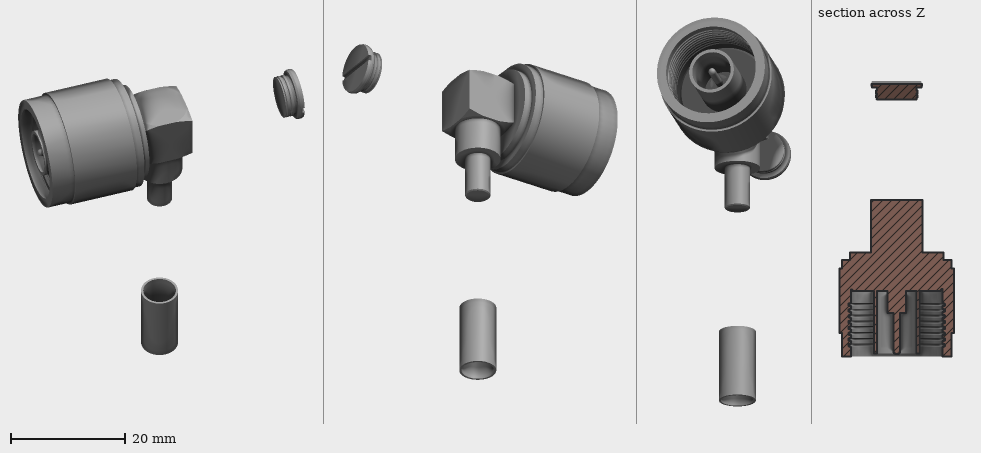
import cadquery as cq
import math


collar_radius = 10.05
nut_radius = 9.7
rear_flange_radius = 8.3
collar_front = 4.1
collar_back = 15.45
nut_back = 17.0
shell_back = 18.3

socket_radius = 8.0
socket_depth = 11.45
floor_bevel = 0.4
nut_groove_radius = 8.45
nut_thread_start = 1.7
nut_thread_pitch = 1.0
nut_groove_count = 8

tube_outer_radius = 4.0
tube_inner_radius = 3.45
tube_front = 0.5
pin_base_radius = 1.65
pin_base_front = 7.65
pin_radius = 0.65
pin_front = 0.4

block_size = 9.15
bevel_circle_radius = 4.85
bevel_corner_drop = 0.65

neck_radius = 4.0
neck_bottom = 10.55
tail_radius = 2.2
tail_bottom = 18.1
tail_bevel = 0.2

ferrule_radius = 3.25
ferrule_bore_radius = 2.85
ferrule_length = 12.7
total_height = 63.65

total_depth = 48.3
cap_length = 3.25
cap_head_radius = 4.45
cap_head_thickness = 1.15
cap_head_bevel_length = 0.4
cap_head_bevel_width = 0.1
cap_neck_radius = 3.5
cap_thread_radius = 3.7
cap_thread_pitch = 0.75
cap_groove_count = 2
cap_thread_runout = 0.1
slot_width = 1.0
slot_depth = 0.5

cable_y = shell_back + block_size / 2
ferrule_bottom = collar_radius - total_height


def revolve_about_y(points):
    """Turn a closed (radius, y) outline about the connector axis."""
    return cq.Workplane("XY").polyline(points).close().revolve(360, (0, 0, 0), (0, 1, 0))


def y_cylinder(radius, front, back):
    return cq.Workplane("XZ", origin=(0, front, 0)).circle(radius).extrude(front - back)


def ring_groove(surface_radius, bottom_radius, front, pitch):
    """Ring that cuts one thread groove, half a pitch wide, into a surface."""
    width = pitch / 2
    flank = width / 3
    return revolve_about_y([
        (surface_radius, front),
        (bottom_radius, front + flank),
        (bottom_radius, front + width - flank),
        (surface_radius, front + width),
    ])


def make_shell():
    """Stepped coupling nut with its threaded socket."""
    shell = y_cylinder(nut_radius, 0, nut_back)
    shell = shell.union(y_cylinder(collar_radius, collar_front, collar_back))
    shell = shell.union(y_cylinder(rear_flange_radius, nut_back, shell_back))
    socket = revolve_about_y([
        (0, 0),
        (socket_radius, 0),
        (socket_radius, socket_depth + floor_bevel),
        (socket_radius - floor_bevel, socket_depth),
        (0, socket_depth),
    ])
    shell = shell.cut(socket)
    for index in range(nut_groove_count):
        front = nut_thread_start + index * nut_thread_pitch
        shell = shell.cut(ring_groove(socket_radius, nut_groove_radius, front, nut_thread_pitch))
    return shell


def make_contacts():
    """Outer contact tube and round-nosed centre pin standing on the socket floor."""
    tube = y_cylinder(tube_outer_radius, tube_front, socket_depth)
    tube = tube.cut(y_cylinder(tube_inner_radius, tube_front, socket_depth))
    pin_base = y_cylinder(pin_base_radius, pin_base_front, socket_depth)
    pin = y_cylinder(pin_radius, pin_front + pin_radius, pin_base_front)
    nose = cq.Workplane("XY").sphere(pin_radius).translate((0, pin_front + pin_radius, 0))
    return tube, pin_base.union(pin).union(nose)


def make_block():
    """Cube whose top and bottom corners are trimmed by a shallow cone."""
    half = block_size / 2
    corner_radius = half * math.sqrt(2)
    cone_height = half - bevel_corner_drop
    block = cq.Workplane("XY").box(block_size, block_size, block_size)
    envelope = (
        cq.Workplane("XZ")
        .polyline([
            (0, -half),
            (bevel_circle_radius, -half),
            (corner_radius, -cone_height),
            (corner_radius, cone_height),
            (bevel_circle_radius, half),
            (0, half),
        ])
        .close()
        .revolve(360, (0, 0, 0), (0, 1, 0))
    )
    return block.intersect(envelope).translate((0, cable_y, 0))


def make_cable_entry():
    """Neck and crimp tail hanging below the block."""
    plane = cq.Workplane("XY", origin=(0, cable_y, 0))
    neck = plane.circle(neck_radius).extrude(-neck_bottom)
    tail = plane.circle(tail_radius).extrude(-tail_bottom).faces("<Z").chamfer(tail_bevel)
    return neck.union(tail)


def make_connector():
    connector = make_shell().union(make_block()).union(make_cable_entry())
    for contact in make_contacts():
        connector = connector.union(contact)
    return connector


def make_ferrule():
    return (
        cq.Workplane("XY", origin=(0, cable_y, ferrule_bottom))
        .circle(ferrule_radius)
        .circle(ferrule_bore_radius)
        .extrude(ferrule_length)
    )


def make_cap():
    """Slotted screw cap behind the block, with its threaded end facing forward."""
    front = total_depth - cap_length
    head_front = total_depth - cap_head_thickness
    bevelled_radius = cap_head_radius - cap_head_bevel_width
    thread_back = front + cap_groove_count * cap_thread_pitch
    cap = revolve_about_y([
        (0, front),
        (cap_thread_radius, front),
        (cap_thread_radius, thread_back),
        (cap_neck_radius, thread_back + cap_thread_runout),
        (cap_neck_radius, head_front),
        (bevelled_radius, head_front),
        (cap_head_radius, head_front + cap_head_bevel_length),
        (cap_head_radius, total_depth - cap_head_bevel_length),
        (bevelled_radius, total_depth),
        (0, total_depth),
    ])
    for index in range(cap_groove_count):
        groove_front = front + index * cap_thread_pitch
        cap = cap.cut(ring_groove(cap_thread_radius, cap_neck_radius, groove_front, cap_thread_pitch))
    slot = (
        cq.Workplane("XY")
        .box(2 * cap_head_radius, slot_depth, slot_width)
        .translate((0, total_depth - slot_depth / 2, 0))
    )
    return cap.cut(slot)


connector = make_connector()
ferrule = make_ferrule()
cap = make_cap()

result = cq.Compound.makeCompound([connector.val(), ferrule.val(), cap.val()])